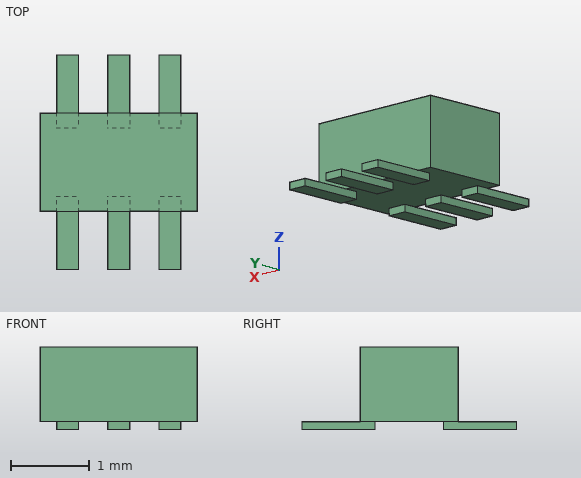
import cadquery as cq

body_length = 2.0
body_width = 1.25
body_height = 0.95

lead_width = 0.28
lead_length = 0.93
lead_thickness = 0.1
lead_pitch = 0.65
leads_per_side = 3
lead_span = 2.73


def make_body():
    """Rectangular block resting on top of the leads."""
    return (
        cq.Workplane("XY")
        .workplane(offset=lead_thickness)
        .rect(body_length, body_width)
        .extrude(body_height)
    )


def make_lead(x, side):
    """Flat lead under the body, reaching outward along Y; side is -1 or +1."""
    center_y = side * (lead_span - lead_length) / 2
    return (
        cq.Workplane("XY")
        .center(x, center_y)
        .rect(lead_width, lead_length)
        .extrude(lead_thickness)
    )


body = make_body()

leads = []
for side in (-1, 1):
    for index in range(leads_per_side):
        lead_x = (index - (leads_per_side - 1) / 2) * lead_pitch
        leads.append(make_lead(lead_x, side))

result = cq.Compound.makeCompound([body.val(), *[lead.val() for lead in leads]])